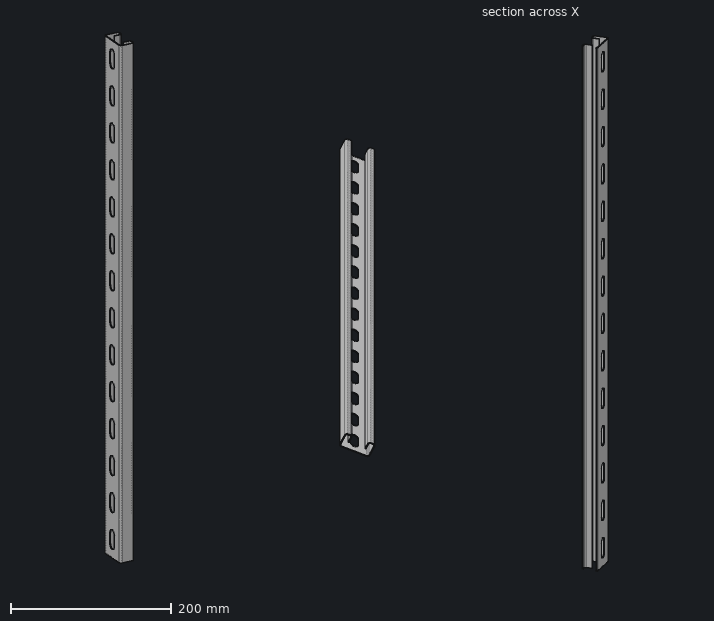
import cadquery as cq

length = 700.0
width = 41.0
depth = 21.0
thickness = 1.5
bend_radius = 3.35

lip_width = 10.0
lip_depth = 11.0

slot_count = 14
slot_length = 26.5
slot_width = 11.0
slot_pitch = length / slot_count

half_width = width / 2
half_depth = depth / 2


def block(x_min, x_max, y_min, y_max):
    """Full-length bar with the given rectangular cross-section."""
    return (
        cq.Workplane("XY")
        .box(x_max - x_min, y_max - y_min, length, centered=False)
        .translate((x_min, y_min, -length / 2))
    )


def rounded_block(x_min, x_max, y_min, y_max, edges, radius):
    """Full-length bar with the selected lengthwise edges rounded."""
    return block(x_min, x_max, y_min, y_max).edges(edges).fillet(radius)


def make_channel():
    """Web, two flanges and the two returned lips, bent from one sheet."""
    inner_radius = bend_radius - thickness
    lip_face = half_width - lip_width
    lip_end = half_depth - lip_depth
    inner_x = half_width - thickness
    inner_y = half_depth - thickness

    outside = rounded_block(-half_width, half_width, -half_depth, half_depth, "|Z", bend_radius)
    inside = rounded_block(-inner_x, inner_x, -inner_y, inner_y, "|Z", inner_radius)
    channel = outside.cut(inside)

    channel = channel.cut(block(-lip_face, lip_face, 0, depth))

    for side in (-1, 1):
        x_min, x_max = sorted((side * lip_face, side * half_width))
        fold = rounded_block(x_min, x_max, lip_end, half_depth, "|Z and >Y", bend_radius)
        hollow = rounded_block(
            x_min + thickness, x_max - thickness, lip_end, inner_y, "|Z and >Y", inner_radius
        )
        channel = channel.cut(block(x_min, x_max, lip_end, half_depth)).union(fold.cut(hollow))
    return channel


def make_slots():
    """Row of upright slots, evenly spaced along the web."""
    return (
        cq.Workplane("XZ", origin=(0, -half_depth + 2 * thickness, 0))
        .rarray(7, slot_pitch, 1, slot_count)
        .slot2D(slot_length, slot_width, 90)
        .extrude(4 * thickness)
    )


result = make_channel().cut(make_slots())